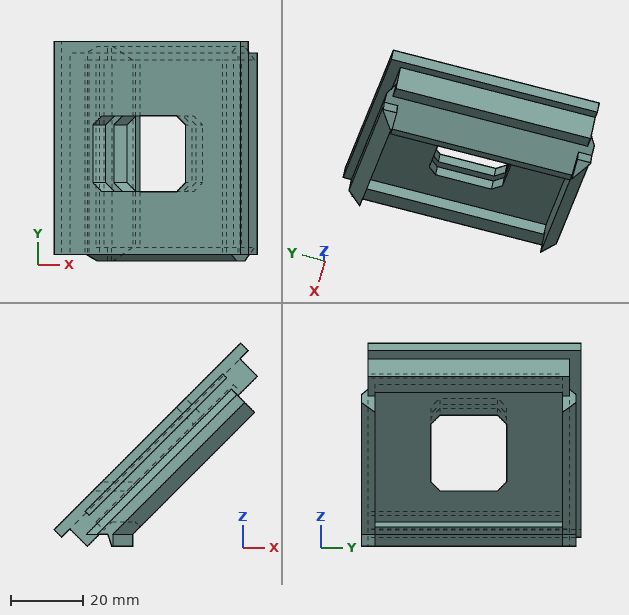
import cadquery as cq
import math

TILT = 45
ROOT2 = math.sqrt(2)

plate_length = 73
plate_width = 59
plate_thickness = 3.0
body_inset = 3.2
body_back = 9.8
body_width = plate_width - body_inset

window_low = 15.2
window_high = 51.4
window_width = 21.0
window_y = (body_width - window_width) / 2
corner_along = 3.5
corner_across = 2.5

wall = 2.0
slot_low = 9.7
slot_high = 63.45
slot_front = 2.5
slot_back = 4.1

recess_front = 6.7

rail_reach = 1.8
rail_high = 62.2
rail_front = 7.25
rail_crest = 9.4
rail_crest_end = 12.4
rail_tip = 16.3

foot_top = -1.3
foot_bottom = (body_inset - body_back) / ROOT2
foot_heel = 14.85
foot_heel_bottom = 15.95

shelf_top = 2.1
shelf_end = 17.4


def slab(low, high, y_low, y_high, front, back):
    """Box between two slope positions, two Y positions and two depths."""
    size = (high - low, y_high - y_low, back - front)
    return cq.Workplane("XY").box(*size, centered=False).translate((low, y_low, -back))


def tilted(shape):
    return shape.rotate((0, 0, 0), (0, 1, 0), -TILT)


def window():
    """Through opening; at the low end its walls shift along the slope with depth."""
    y_high = window_y + window_width
    reach_high = window_high + body_back

    def low_outline(depth):
        low = window_low + depth
        return [
            (reach_high, window_y),
            (reach_high, y_high),
            (low + corner_along, y_high),
            (low, y_high - corner_across),
            (low, window_y + corner_across),
            (low + corner_along, window_y),
        ]

    low_part = (
        cq.Workplane("XY").polyline(low_outline(0)).close()
        .workplane(offset=-body_back).polyline(low_outline(body_back)).close()
        .loft(ruled=True)
    )
    high_part = cq.Workplane("XY").polyline([
        (window_low, window_y),
        (window_high - corner_along, window_y),
        (window_high, window_y + corner_across),
        (window_high, y_high - corner_across),
        (window_high - corner_along, y_high),
        (window_low, y_high),
    ]).close().extrude(-body_back)
    return low_part.intersect(high_part)


def shelf():
    """Tilted crossbar joining the lower ends of the two rails behind the body."""
    def point(depth, height):
        return (depth * ROOT2 + height, height)

    lip_height = (shelf_end - rail_tip) / ROOT2
    profile = [
        point(body_back, foot_top),
        point(rail_tip, foot_top),
        point(rail_tip, lip_height),
        point(shelf_end - shelf_top * ROOT2, shelf_top),
        point(body_back, shelf_top),
    ]
    bar = cq.Workplane("XZ").polyline(profile).close().extrude(-(body_width - 2 * wall))
    return bar.translate((0, wall, 0))


def rail():
    """Tilted clip rail of the -Y side, ending in its vertical foot."""
    profile = [
        (0, -rail_front),
        (-rail_reach, -rail_crest),
        (-rail_reach, -rail_crest_end),
        (wall, -rail_tip),
        (wall, -rail_front),
    ]
    bar = tilted(cq.Workplane("YZ").polyline(profile).close().extrude(rail_high))
    ground = cq.Workplane("XY").box(
        plate_length, plate_length, plate_length, centered=(True, True, False)
    ).translate((0, 0, foot_top - plate_length))
    bar = bar.cut(ground)

    section = [
        (foot_heel, -rail_reach),
        (rail_crest_end * ROOT2 + foot_top, -rail_reach),
        (rail_tip * ROOT2 + foot_top, wall),
        (foot_heel, wall),
    ]
    foot = cq.Workplane("XY", origin=(0, 0, foot_top)).polyline(section).close()
    foot = foot.extrude(foot_bottom - foot_top)
    heel = cq.Workplane("XZ").polyline([
        (foot_heel, foot_top),
        (foot_heel_bottom, foot_bottom),
        (foot_heel, foot_bottom),
    ]).close().extrude(wall + rail_reach, both=True)
    return bar.union(foot.cut(heel))


plate = slab(0, plate_length, 0, plate_width, 0, plate_thickness)
body = slab(body_inset, plate_length - body_inset, 0, body_width, 0, body_back)
slot = slab(slot_low, slot_high, 0, body_width - wall, slot_front, slot_back)
recess = slab(slot_low, slot_high, wall, body_width - wall, recess_front, body_back)
panel = tilted(plate.union(body).cut(window()).cut(slot).cut(recess))

near_rail = rail()
far_rail = near_rail.mirror("XZ", (0, body_width / 2, 0))
result = panel.union(near_rail).union(far_rail).union(shelf())